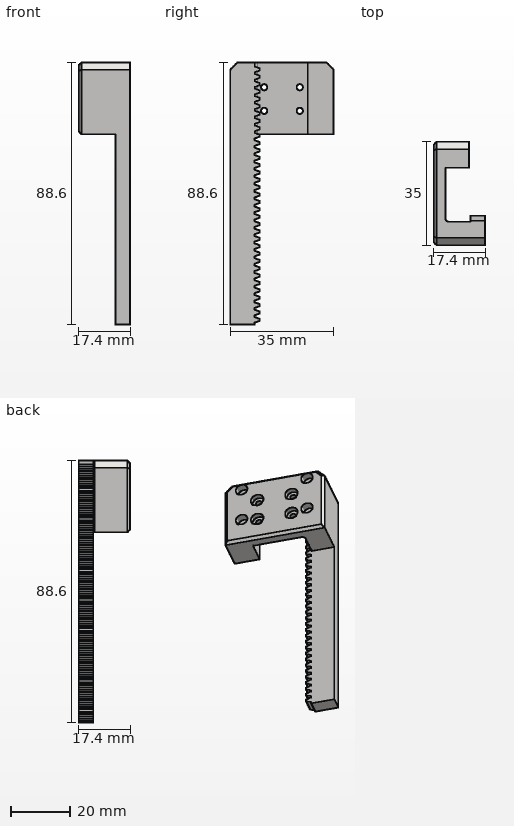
import cadquery as cq
import math

depth = 17.4
width = 35.0
height = 88.6

head_height = 24.4
web_thickness = 4.0
far_arm_depth = 12.0
far_arm_width = 8.9
near_arm_width = 8.0
inner_fillet = 1.15
corner_chamfer = 2.5
face_chamfer = 1.0

rack_thickness = 5.0
rack_root_width = 8.2
tooth_height = 1.8
tooth_count = 35
tooth_tip_length = 0.7
pressure_angle = 20.0
first_tooth_z = 1.6
last_tooth_z = 86.2
tooth_pitch = (last_tooth_z - first_tooth_z) / (tooth_count - 1)

magnet_diameter = 4.1
magnet_depth = 3.0
magnet_spacing_y = 23.0
magnet_spacing_z = 12.6
magnet_top_offset = 2.9

screw_diameter = 2.0
screw_head_diameter = 4.4
screw_head_depth = 2.0
screw_spacing_y = 12.05
screw_spacing_z = 8.0
screw_top_offset = 8.4

head_bottom = height - head_height
rack_x = depth - rack_thickness


def box(x, y, z, size_x, size_y, size_z):
    """Box with its lowest corner at (x, y, z)."""
    return cq.Workplane("XY").box(size_x, size_y, size_z, centered=False).translate((x, y, z))


def make_head():
    """U-shaped bracket with chamfered top corners and a chamfered -X face."""
    head = box(0, 0, head_bottom, depth, width, head_height)
    head = head.edges("|X and >Z").chamfer(corner_chamfer)
    head = head.faces("<X").chamfer(face_chamfer)

    opening_width = width - near_arm_width - far_arm_width
    opening = box(web_thickness, near_arm_width, head_bottom, depth, opening_width, head_height)
    opening = opening.edges("|Z and <X and <Y").fillet(inner_fillet)
    beyond_far_arm = box(far_arm_depth, near_arm_width, head_bottom, depth, width, head_height)
    return head.cut(opening).cut(beyond_far_arm)


def make_rack():
    """Full-height bar with straight-sided teeth pointing toward +Y."""
    half_tip = tooth_tip_length / 2
    half_root = half_tip + tooth_height * math.tan(math.radians(pressure_angle))
    tip_y = rack_root_width + tooth_height

    outline = [(0, 0), (rack_root_width, 0)]
    for index in range(tooth_count):
        z = first_tooth_z + index * tooth_pitch
        outline.append((rack_root_width, z - half_root))
        outline.append((tip_y, z - half_tip))
        outline.append((tip_y, z + half_tip))
        outline.append((rack_root_width, z + half_root))
    outline += [(rack_root_width, height), (0, height)]

    rack = cq.Workplane("YZ").workplane(offset=rack_x).polyline(outline).close().extrude(rack_thickness)
    return rack.edges("|X and >Z and <Y").chamfer(corner_chamfer)


def hole_grid(diameter, length, spacing_y, spacing_z, top_offset):
    """Four cylinders running from the -X face, centred across the width."""
    center_z = height - top_offset - spacing_z / 2
    return (
        cq.Workplane("YZ", origin=(0, width / 2, center_z))
        .rarray(spacing_y, spacing_z, 2, 2)
        .circle(diameter / 2)
        .extrude(length)
    )


magnet_pockets = hole_grid(
    magnet_diameter, magnet_depth, magnet_spacing_y, magnet_spacing_z, magnet_top_offset
)
screw_layout = (screw_spacing_y, screw_spacing_z, screw_top_offset)
screw_holes = hole_grid(screw_diameter, web_thickness, *screw_layout)
screw_heads = hole_grid(screw_head_diameter, screw_head_depth, *screw_layout)

result = make_head().union(make_rack()).cut(magnet_pockets).cut(screw_holes).cut(screw_heads)